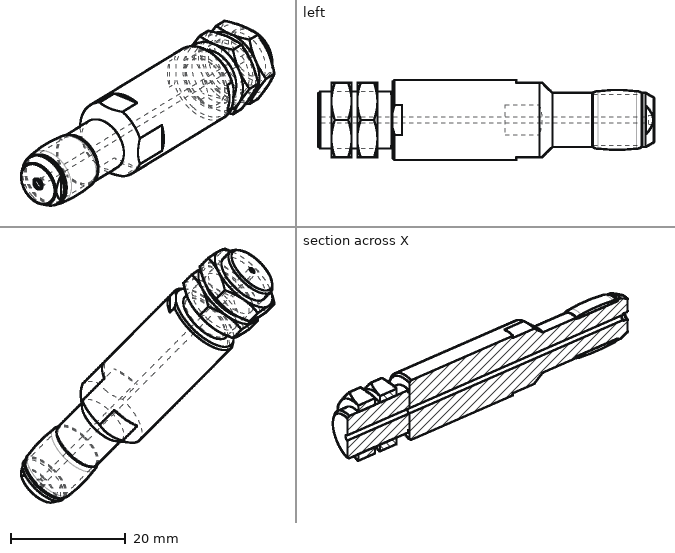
import cadquery as cq
import math

LENGTH = 58.5

GRIP_RADIUS = 7.0
NECK_RADIUS = 4.75
NECK_END = 17.75
SHOULDER_END = NECK_END + GRIP_RADIUS - NECK_RADIUS
GRIP_END = 45.6
GRIP_CHAMFER = 0.4

NOSE_LENGTH = 1.5
NOSE_TIP_RADIUS = 3.95
NOSE_FACE_RADIUS = 3.75
NOSE_BEVEL_LENGTH = 0.12

GRIP_FLAT_OFFSET = 6.5
REAR_FLAT_START = 43.9
SIDE_FLAT_END = 26.0
FRONT_FLAT_END = 24.0
NOSE_FLAT_OFFSET = 4.0
NOSE_FLAT_LENGTH = 1.4
CUTTER_SIZE = 4 * GRIP_RADIUS

BORE_RADIUS = 0.55
MOUTH_RADIUS = 0.785
MOUTH_DEPTH = 1.0
COUNTERSINK_RADIUS = 1.05
COUNTERSINK_DEPTH = COUNTERSINK_RADIUS - MOUTH_RADIUS

SEAT_RADIUS = 4.46
SLEEVE_START = 2.2
SLEEVE_END = 10.7
SLEEVE_MIDDLE = (SLEEVE_START + SLEEVE_END) / 2
SLEEVE_GAP = 0.12
SLEEVE_RADIUS = 5.25
SLEEVE_EDGE_RADIUS = 5.02
SLEEVE_EDGE_LENGTH = 0.9
SLEEVE_END_RADIUS = 4.7
SLEEVE_EDGE_BULGE = 0.08

TUBE_RADIUS = 5.0
TUBE_CHAMFER = 0.4
TUBE_RELIEF_RADIUS = SEAT_RADIUS
TUBE_RELIEF_LENGTH = 0.15

NUT_ACROSS_FLATS = 13.0
NUT_ACROSS_CORNERS = NUT_ACROSS_FLATS / math.cos(math.pi / 6)
NUT_THICKNESS = 3.5
NUT_SPACING = 4.5
FIRST_NUT_START = 48.2
NUT_COUNT = 2
NUT_CHAMFER_ANGLE = math.radians(30)
NUT_FACE_RADIUS = NUT_ACROSS_FLATS / 2


def revolve_about_y(profile):
    """Turn a closed profile, drawn with radius along X, about the Y axis."""
    return profile.close().revolve(360, (0, 0, 0), (0, 1, 0))


def flat_cutter(angle, offset, start, end):
    """Block that removes everything beyond `offset`; 0 degrees faces +X and 90 degrees faces +Z."""
    block = cq.Workplane("XY").box(CUTTER_SIZE, end - start, CUTTER_SIZE)
    block = block.translate((offset + CUTTER_SIZE / 2, (start + end) / 2, 0))
    return block.rotate((0, 0, 0), (0, 1, 0), -angle)


def make_housing():
    body = revolve_about_y(
        cq.Workplane("XY")
        .moveTo(BORE_RADIUS, MOUTH_DEPTH)
        .lineTo(MOUTH_RADIUS, MOUTH_DEPTH)
        .lineTo(MOUTH_RADIUS, COUNTERSINK_DEPTH)
        .lineTo(COUNTERSINK_RADIUS, 0)
        .lineTo(NOSE_FACE_RADIUS, 0)
        .lineTo(NOSE_TIP_RADIUS, NOSE_BEVEL_LENGTH)
        .lineTo(NECK_RADIUS, NOSE_LENGTH)
        .lineTo(NECK_RADIUS, SLEEVE_START - SLEEVE_GAP)
        .lineTo(SEAT_RADIUS, SLEEVE_START - SLEEVE_GAP)
        .lineTo(SEAT_RADIUS, SLEEVE_END + SLEEVE_GAP)
        .lineTo(NECK_RADIUS, SLEEVE_END + SLEEVE_GAP)
        .lineTo(NECK_RADIUS, NECK_END)
        .lineTo(GRIP_RADIUS, SHOULDER_END)
        .lineTo(GRIP_RADIUS, GRIP_END - GRIP_CHAMFER)
        .lineTo(GRIP_RADIUS - GRIP_CHAMFER, GRIP_END)
        .lineTo(BORE_RADIUS, GRIP_END)
    )
    for angle in (0, 180):
        body = body.cut(flat_cutter(angle, NOSE_FLAT_OFFSET, 0, NOSE_FLAT_LENGTH))
        body = body.cut(flat_cutter(angle, GRIP_FLAT_OFFSET, REAR_FLAT_START, GRIP_END))
    for angle in (90, 270):
        body = body.cut(flat_cutter(angle, GRIP_FLAT_OFFSET, NECK_END, FRONT_FLAT_END))
    return body.cut(flat_cutter(0, GRIP_FLAT_OFFSET, NECK_END, SIDE_FLAT_END))


def make_sleeve():
    front_edge = SLEEVE_START + SLEEVE_EDGE_LENGTH
    rear_edge = SLEEVE_END - SLEEVE_EDGE_LENGTH
    bulge_radius = (SLEEVE_END_RADIUS + SLEEVE_EDGE_RADIUS) / 2 + SLEEVE_EDGE_BULGE
    front_bulge = SLEEVE_START + SLEEVE_EDGE_LENGTH / 2 - SLEEVE_EDGE_BULGE
    rear_bulge = SLEEVE_END - SLEEVE_EDGE_LENGTH / 2 + SLEEVE_EDGE_BULGE
    return revolve_about_y(
        cq.Workplane("XY")
        .moveTo(SEAT_RADIUS, SLEEVE_START)
        .lineTo(SLEEVE_END_RADIUS, SLEEVE_START)
        .threePointArc((bulge_radius, front_bulge), (SLEEVE_EDGE_RADIUS, front_edge))
        .threePointArc((SLEEVE_RADIUS, SLEEVE_MIDDLE), (SLEEVE_EDGE_RADIUS, rear_edge))
        .threePointArc((bulge_radius, rear_bulge), (SLEEVE_END_RADIUS, SLEEVE_END))
        .lineTo(SEAT_RADIUS, SLEEVE_END)
    )


def make_threaded_tube():
    return revolve_about_y(
        cq.Workplane("XY")
        .moveTo(BORE_RADIUS, GRIP_END)
        .lineTo(TUBE_RELIEF_RADIUS, GRIP_END)
        .lineTo(TUBE_RELIEF_RADIUS, GRIP_END + TUBE_RELIEF_LENGTH)
        .lineTo(TUBE_RADIUS, GRIP_END + TUBE_RELIEF_LENGTH)
        .lineTo(TUBE_RADIUS, LENGTH - TUBE_CHAMFER)
        .lineTo(TUBE_RADIUS - TUBE_CHAMFER, LENGTH)
        .lineTo(BORE_RADIUS, LENGTH)
    )


def make_nut(start):
    """Hexagon nut with corners on the X axis, chamfered on both faces and bored for the tube."""
    corner_radius = NUT_ACROSS_CORNERS / 2
    chamfer_length = (corner_radius - NUT_FACE_RADIUS) * math.tan(NUT_CHAMFER_ANGLE)
    hexagon = (
        cq.Workplane("XZ")
        .polygon(6, NUT_ACROSS_CORNERS)
        .circle(TUBE_RADIUS)
        .extrude(-NUT_THICKNESS)
    )
    chamfer_envelope = revolve_about_y(
        cq.Workplane("XY")
        .lineTo(NUT_FACE_RADIUS, 0)
        .lineTo(corner_radius, chamfer_length)
        .lineTo(corner_radius, NUT_THICKNESS - chamfer_length)
        .lineTo(NUT_FACE_RADIUS, NUT_THICKNESS)
        .lineTo(0, NUT_THICKNESS)
    )
    return hexagon.intersect(chamfer_envelope).translate((0, start, 0))


housing = make_housing()
sleeve = make_sleeve()
threaded_tube = make_threaded_tube()
nuts = [make_nut(FIRST_NUT_START + i * NUT_SPACING) for i in range(NUT_COUNT)]

result = cq.Compound.makeCompound(
    [housing.val(), sleeve.val(), threaded_tube.val(), *[nut.val() for nut in nuts]]
)